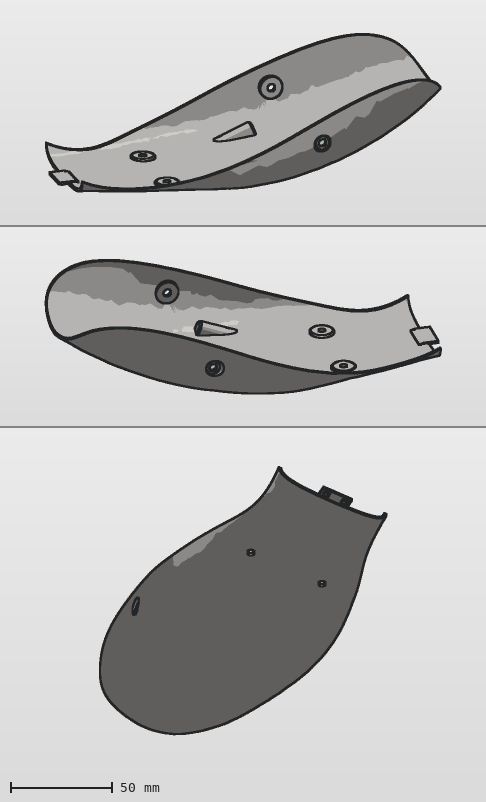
import cadquery as cq
import math

WALL = 1.4
SHELL_FRONT = -92.2
SHELL_BACK = 97.3
TOP_LIMIT = 52.5
SIDE_PULL = 1.3

STATIONS = [
    (-95.3, 30.3, 2.0, 10.1, 0.3),
    (-81.7, 31.0, 1.4, 8.4, 0.3),
    (-68.0, 33.5, 0.8, 7.8, 0.4),
    (-48.6, 39.3, 0.5, 9.7, 0.5),
    (-25.3, 44.7, 0.2, 14.5, 1.0),
    (0.0, 46.9, 0.0, 20.5, 1.0),
    (25.3, 45.0, 2.1, 27.2, 0.8),
    (48.6, 41.8, 7.4, 32.0, 0.5),
    (72.0, 37.2, 17.3, 28.2, 0.2),
    (85.5, 31.9, 24.5, 21.4, -0.3),
    (99.2, 22.4, 33.0, 14.5, -0.9),
]
RIM = [
    (SHELL_BACK, 32.0), (92.5, 40.5), (88.0, 44.3), (77.8, 47.7), (64.2, 47.3), (45.7, 42.6),
    (22.2, 33.7), (-5.8, 21.5), (-29.4, 12.8), (-48.0, 8.0), (-66.7, 5.3), (-81.0, 6.8),
    (SHELL_FRONT, 11.0),
]

FLOOR_BOSS_X = 20.0
FLOOR_BOSS_Y = -45.5
FLOOR_BOSS_DIAMETER = 12.8
FLOOR_BOSS_CHAMFER = 1.0
FLOOR_BOSS_TOP = 3.1
SCREW_HOLE_DIAMETER = 3.5

SIDE_BOSS_Y = 27.5
SIDE_BOSS_Z = 23.1
SIDE_BOSS_DIAMETER = 11.5
SIDE_BOSS_INNER_X = 41.2
SIDE_BOSS_OUTER_X = 44.0
SIDE_HOLE_DIAMETER = 3.9
SINK_OUTER_DIAMETER = 10.0
SINK_INNER_DIAMETER = 6.8
SINK_DEPTH = 2.3
SIDE_WALL_X = 45.3

PEG_X = 31.9
PEG_DIAMETER = 6.0
PEG_TILT = 22.0
PEG_END_Y = 13.5
PEG_END_Z = 10.3
PEG_LENGTH = 27.2
PEG_DEPTH = 13.6
PEG_CHAMFER = 0.8

CLIP_WIDTH = 16.0
CLIP_BACK = -87.3
CLIP_FRONT = -97.3
CLIP_BOTTOM = 2.7
CLIP_RAMP_TOP = -89.9
CLIP_RAMP_FOOT = 3.1
CLIP_TOP = 3.9
HOOK_BACK = -93.2
HOOK_FRONT = -96.5
HOOK_BOTTOM = 2.0
HOOK_TAPER = 0.8
HOOK_X = 5.0
HOOK_WIDTH = 2.7
EPS = 3.9


def bottom_controls(y, half_width, floor, height, spread, inset):
    """Bezier control points, left to right, of the rounded bottom of a cross-section."""
    a = half_width - inset
    b = height - inset
    middle_pull = 1.6 - SIDE_PULL / 2
    left = [(-1, 0), (-1, SIDE_PULL), (-spread, middle_pull)]
    right = [(-u, depth) for u, depth in reversed(left)]
    return [cq.Vector(u * a, y, floor + height - depth * b) for u, depth in left + right]


def section(station, inset, overrun):
    """Closed U-shaped wire with a rounded bottom and straight upper walls."""
    controls = bottom_controls(*station, inset)
    top = TOP_LIMIT + overrun
    left_top = cq.Vector(controls[0].x, controls[0].y, top)
    right_top = cq.Vector(controls[-1].x, controls[-1].y, top)
    return cq.Wire.assembleEdges([
        cq.Edge.makeBezier(controls),
        cq.Edge.makeLine(controls[-1], right_top),
        cq.Edge.makeLine(right_top, left_top),
        cq.Edge.makeLine(left_top, controls[0]),
    ])


def envelope(inset, overrun):
    """Solid through all cross-sections, moved inward by the inset and taller by the overrun."""
    wires = [section(station, inset, overrun) for station in STATIONS]
    return cq.Workplane(obj=cq.Solid.makeLoft(wires))


def below_rim():
    """Block that keeps everything under the rim curve."""
    return (
        cq.Workplane("YZ").moveTo(*RIM[0]).spline(RIM[1:], includeCurrent=True)
        .lineTo(SHELL_FRONT, -EPS).lineTo(SHELL_BACK, -EPS).close()
        .extrude(TOP_LIMIT, both=True)
    )


def floor_boss(x):
    return (
        cq.Workplane("XY").center(x, FLOOR_BOSS_Y).circle(FLOOR_BOSS_DIAMETER / 2)
        .extrude(FLOOR_BOSS_TOP).faces(">Z").chamfer(FLOOR_BOSS_CHAMFER)
    )


def floor_hole(x):
    return (
        cq.Workplane("XY").workplane(offset=-EPS).center(x, FLOOR_BOSS_Y)
        .circle(SCREW_HOLE_DIAMETER / 2).extrude(FLOOR_BOSS_TOP + 2 * EPS)
    )


def side_cone(side, start_x, end_x, start_diameter, end_diameter):
    """Round body along X at a side boss, running from start_x inward to end_x."""
    return cq.Workplane(obj=cq.Solid.makeCone(
        start_diameter / 2, end_diameter / 2, start_x - end_x,
        cq.Vector(side * start_x, SIDE_BOSS_Y, SIDE_BOSS_Z), cq.Vector(-side, 0, 0),
    ))


def side_cylinder(side, start_x, end_x, diameter):
    return cq.Workplane(obj=cq.Solid.makeCylinder(
        diameter / 2, start_x - end_x,
        cq.Vector(side * start_x, SIDE_BOSS_Y, SIDE_BOSS_Z), cq.Vector(-side, 0, 0),
    ))


def peg(x):
    """Round-topped rib that rises out of the floor toward +Y and ends square to its slope."""
    tilt = math.radians(PEG_TILT)
    end_plane = cq.Plane(
        origin=(x, PEG_END_Y, PEG_END_Z), xDir=(1, 0, 0),
        normal=(0, math.cos(tilt), math.sin(tilt)),
    )
    radius = PEG_DIAMETER / 2
    return (
        cq.Workplane(end_plane).moveTo(-radius, PEG_DEPTH).lineTo(-radius, radius)
        .threePointArc((0, 0), (radius, radius)).lineTo(radius, PEG_DEPTH).close()
        .extrude(-PEG_LENGTH).faces(cq.selectors.DirectionMinMaxSelector(end_plane.zDir, True))
        .chamfer(PEG_CHAMFER)
    )


def make_shell():
    outer = envelope(0, 0)
    shell = outer.intersect(below_rim()).cut(envelope(WALL, EPS))
    for side in (-1, 1):
        additions = floor_boss(side * FLOOR_BOSS_X).union(peg(side * PEG_X))
        additions = additions.union(
            side_cylinder(side, SIDE_BOSS_OUTER_X, SIDE_BOSS_INNER_X, SIDE_BOSS_DIAMETER)
        )
        shell = shell.union(additions.intersect(outer))
        shell = shell.cut(floor_hole(side * FLOOR_BOSS_X))
        shell = shell.cut(side_cylinder(
            side, SIDE_WALL_X + EPS, SIDE_BOSS_INNER_X - EPS, SIDE_HOLE_DIAMETER
        ))
        shell = shell.cut(side_cone(
            side, SIDE_WALL_X, SIDE_WALL_X - SINK_DEPTH, SINK_OUTER_DIAMETER, SINK_INNER_DIAMETER
        ))
    return shell.cut(make_clip())


def hook(x):
    """Tapered catch under the free end of the tongue."""
    return (
        cq.Workplane("YZ").workplane(offset=x).moveTo(HOOK_BACK, CLIP_TOP)
        .lineTo(HOOK_BACK, CLIP_BOTTOM).lineTo(HOOK_BACK - HOOK_TAPER, HOOK_BOTTOM)
        .lineTo(HOOK_FRONT + HOOK_TAPER, HOOK_BOTTOM).lineTo(HOOK_FRONT, CLIP_BOTTOM)
        .lineTo(HOOK_FRONT, CLIP_TOP).close().extrude(HOOK_WIDTH / 2, both=True)
    )


def make_clip():
    """Flat tongue in the floor with a sloped back end and two hooks."""
    clip = (
        cq.Workplane("YZ").moveTo(CLIP_BACK, CLIP_BOTTOM).lineTo(CLIP_BACK, CLIP_RAMP_FOOT)
        .lineTo(CLIP_RAMP_TOP, CLIP_TOP).lineTo(CLIP_FRONT, CLIP_TOP)
        .lineTo(CLIP_FRONT, CLIP_BOTTOM).close().extrude(CLIP_WIDTH / 2, both=True)
    )
    for side in (-1, 1):
        clip = clip.union(hook(side * HOOK_X))
    return clip


shell = make_shell()
clip = make_clip()
result = cq.Compound.makeCompound([shell.val(), clip.val()])